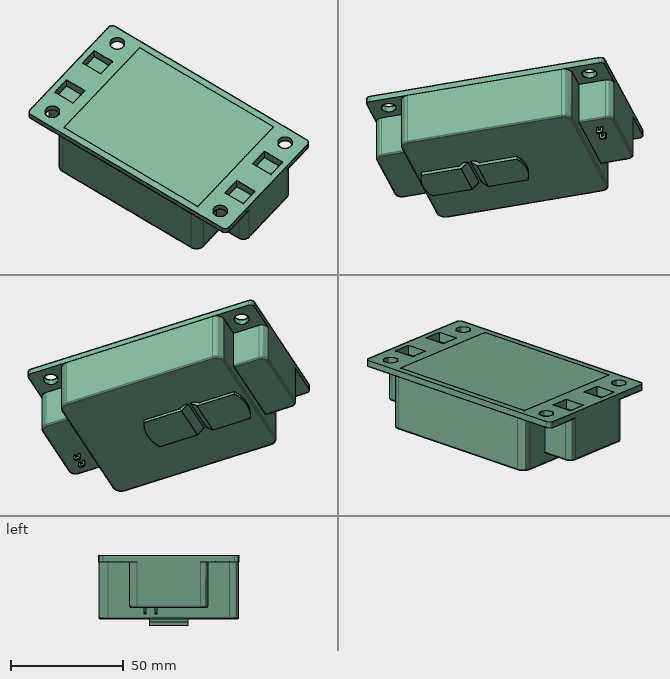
import cadquery as cq

FLANGE_LENGTH = 110.0
FLANGE_WIDTH = 62.0
FLANGE_THICKNESS = 2.9
FLANGE_CORNER_RADIUS = 2.0

BOX_LENGTH = 79.0
BOX_WIDTH = 61.9
BOX_DEPTH = 28.0
BOX_CORNER_RADIUS = 4.0

WING_WIDTH = 34.5
WING_DEPTH = 23.0
WING_CORNER_RADIUS = 3.2

BOTTOM_FILLET = 0.7

HOLE_DIAMETER = 6.5
HOLE_X = 46.4
HOLE_Y = 24.0
POCKET_LENGTH = 10.1
POCKET_WIDTH = 8.7
POCKET_DEPTH = 4.4
POCKET_X = 47.1
POCKET_Y = 10.2

PANEL_LENGTH = 74.0
PANEL_WIDTH = 55.9
PANEL_THICKNESS = FLANGE_THICKNESS

LUG_WIDTH = 2.9
LUG_THICKNESS = 0.9
LUG_LENGTH = 2.9
LUG_CHAMFER = 0.4
LUG_X = -POCKET_X
LUG_Y_POSITIONS = (10.5, 5.6)
EYE_WIDTH = 1.2
EYE_LENGTH = 1.5

OVERALL_HEIGHT = 31.0
STRIP_CENTRE_X = 13.9
STRIP_WIDTH = 17.0
STRIP_THICKNESS = 1.5
STRIP_REACH = 24.1
STRIP_END_BULGE = 2.0

ROOT_NEAR = 0.5
ROOT_FAR = 2.6
BEND_LOWER = 3.7
BEND_UPPER = 4.7


def box_below_top(length, width, depth, corner_radius):
    """Block from Z = 0 down, with rounded vertical edges."""
    block = cq.Workplane("XY").box(length, width, depth, centered=(True, True, False))
    return block.translate((0, 0, -depth)).edges("|Z").fillet(corner_radius)


def four_corners(x, y):
    return [(sx * x, sy * y) for sx in (-1, 1) for sy in (-1, 1)]


def panel_block():
    block = cq.Workplane("XY").rect(PANEL_LENGTH, PANEL_WIDTH)
    return block.extrude(-PANEL_THICKNESS)


def make_housing():
    flange = box_below_top(FLANGE_LENGTH, FLANGE_WIDTH, FLANGE_THICKNESS, FLANGE_CORNER_RADIUS)
    box = box_below_top(BOX_LENGTH, BOX_WIDTH, BOX_DEPTH, BOX_CORNER_RADIUS)
    box = box.faces("<Z").edges().fillet(BOTTOM_FILLET)
    wings = box_below_top(FLANGE_LENGTH, WING_WIDTH, WING_DEPTH, WING_CORNER_RADIUS)
    wings = wings.faces("<Z").edges().fillet(BOTTOM_FILLET)
    housing = flange.union(box).union(wings)

    holes = (
        cq.Workplane("XY")
        .pushPoints(four_corners(HOLE_X, HOLE_Y))
        .circle(HOLE_DIAMETER / 2)
        .extrude(-FLANGE_THICKNESS)
    )
    pockets = (
        cq.Workplane("XY")
        .pushPoints(four_corners(POCKET_X, POCKET_Y))
        .rect(POCKET_LENGTH, POCKET_WIDTH)
        .extrude(-POCKET_DEPTH)
    )
    return housing.cut(holes).cut(pockets).cut(panel_block())


def make_lug(y):
    """Flat tag hanging from the wing underside, with an eye that opens at its root."""
    lug = cq.Workplane("XY").box(LUG_WIDTH, LUG_THICKNESS, LUG_LENGTH, centered=(True, True, False))
    lug = lug.faces("<Z").edges("|Y").chamfer(LUG_CHAMFER)
    eye = (
        cq.Workplane("XY")
        .box(EYE_WIDTH, LUG_THICKNESS, EYE_LENGTH, centered=(True, True, False))
        .translate((0, 0, LUG_LENGTH - EYE_LENGTH))
    )
    return lug.cut(eye).translate((LUG_X, y, -WING_DEPTH - LUG_LENGTH))


def make_strip(side):
    """Strip that leaves the box underside at a slant and runs flat to a rounded end; side is -1 or 1."""
    strip_bottom = -OVERALL_HEIGHT
    strip_top = strip_bottom + STRIP_THICKNESS
    half_width = STRIP_WIDTH / 2
    profile = (
        cq.Workplane("XZ")
        .moveTo(ROOT_NEAR, -BOX_DEPTH)
        .lineTo(BEND_LOWER, strip_bottom)
        .lineTo(STRIP_REACH, strip_bottom)
        .lineTo(STRIP_REACH, strip_top)
        .lineTo(BEND_UPPER, strip_top)
        .lineTo(ROOT_FAR, -BOX_DEPTH)
        .close()
        .extrude(half_width, both=True)
    )
    plan = (
        cq.Workplane("XY", origin=(0, 0, strip_bottom))
        .moveTo(0, -half_width)
        .lineTo(STRIP_REACH - STRIP_END_BULGE, -half_width)
        .threePointArc((STRIP_REACH, 0), (STRIP_REACH - STRIP_END_BULGE, half_width))
        .lineTo(0, half_width)
        .close()
        .extrude(OVERALL_HEIGHT - BOX_DEPTH)
    )
    strip = profile.intersect(plan)
    if side < 0:
        strip = strip.mirror("YZ")
    return strip.translate((STRIP_CENTRE_X, 0, 0))


housing = make_housing()
panel = panel_block()
lugs = [make_lug(y) for y in LUG_Y_POSITIONS]
strips = [make_strip(side) for side in (-1, 1)]

bodies = [housing, panel, *lugs, *strips]
result = cq.Compound.makeCompound([body.val() for body in bodies])